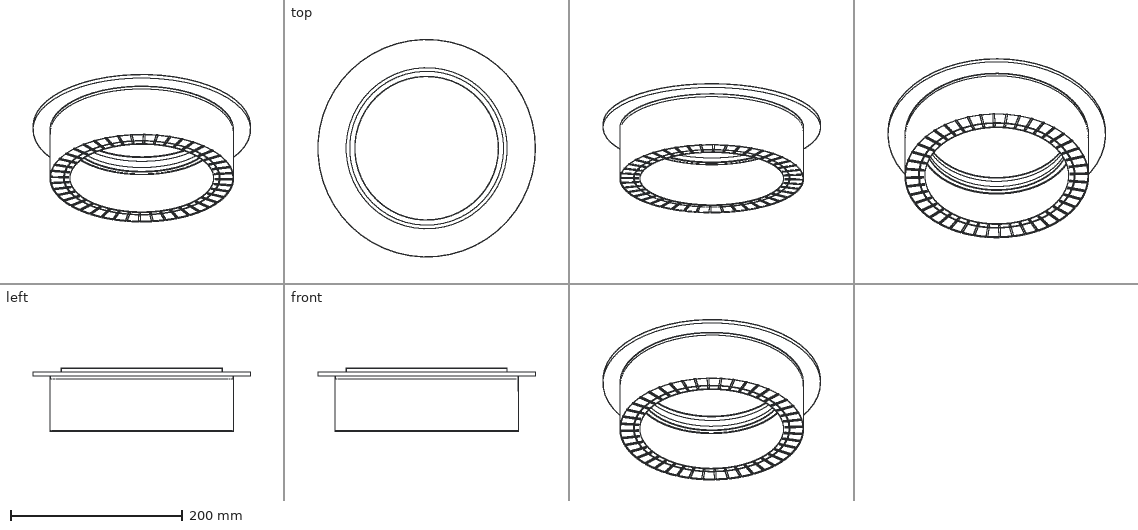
import cadquery as cq

total_height = 74.0
collar_height = 4.5
flange_thickness = 4.8
plug_depth = 3.3

flange_diameter = 254.5
collar_diameter = 188.5
bore_diameter = 168.3
liner_bore_diameter = 181.0
liner_diameter = 183.3

ring_diameter = 180.0
ring_height = 5.0
ring_bulge = 0.38
ring_pitch = 13.2
lip_thickness = 1.0

shell_diameter = 215.0
shell_bore_diameter = 213.0
slot_start_diameter = 171.5
slot_width = 2.0
slot_count = 44

flange_top = total_height - collar_height
flange_bottom = flange_top - flange_thickness
plug_bottom = flange_bottom - plug_depth
upper_ring_bottom = total_height - lip_thickness - ring_height
lower_ring_bottom = upper_ring_bottom - ring_pitch
ring_bottoms = [upper_ring_bottom, lower_ring_bottom]
bore_bottom = lower_ring_bottom - lip_thickness
base_thickness = (shell_diameter - shell_bore_diameter) / 2


def disc(diameter, bottom, top):
    """Solid round disc on the Z axis between two heights."""
    return cq.Workplane("XY").workplane(offset=bottom).circle(diameter / 2).extrude(top - bottom)


def make_collar():
    """Stepped collar with its liner; the grooved bore is narrower than the liner below it."""
    collar = (
        disc(collar_diameter, flange_top, total_height)
        .union(disc(flange_diameter, flange_bottom, flange_top))
        .union(disc(shell_bore_diameter, plug_bottom, flange_bottom))
        .union(disc(liner_diameter, base_thickness, plug_bottom))
        .cut(disc(bore_diameter, base_thickness, total_height))
        .cut(disc(liner_bore_diameter, base_thickness, bore_bottom))
    )
    for bottom in ring_bottoms:
        collar = collar.cut(disc(ring_diameter, bottom, bottom + ring_height))
    return collar


def make_ring(bottom):
    """Seal ring that fills its groove and bulges slightly into the bore."""
    inner = bore_diameter / 2
    outer = ring_diameter / 2
    top = bottom + ring_height
    return (
        cq.Workplane("XZ")
        .moveTo(inner, bottom)
        .lineTo(outer, bottom)
        .lineTo(outer, top)
        .lineTo(inner, top)
        .threePointArc((inner - ring_bulge, bottom + ring_height / 2), (inner, bottom))
        .close()
        .revolve(360, (0, 0), (0, 1))
    )


def make_slots():
    """Radial slots, open at the outside of the shell, the first half a pitch from the X axis."""
    slot_start = slot_start_diameter / 2
    slot_length = shell_diameter / 2 + slot_width - slot_start
    return (
        cq.Workplane("XY")
        .polarArray(slot_start + slot_length / 2, 180 / slot_count, 360, slot_count)
        .rect(slot_length, slot_width)
        .extrude(base_thickness)
    )


def make_shell():
    """Thin cup that fits around the plug, with a round hole and radial slots in its base."""
    return (
        disc(shell_diameter, 0, flange_bottom)
        .cut(disc(shell_bore_diameter, base_thickness, flange_bottom))
        .cut(disc(bore_diameter, 0, base_thickness))
        .cut(make_slots())
    )


collar = make_collar()
shell = make_shell()
rings = [make_ring(bottom) for bottom in ring_bottoms]

result = cq.Compound.makeCompound([collar.val(), shell.val(), *[ring.val() for ring in rings]])